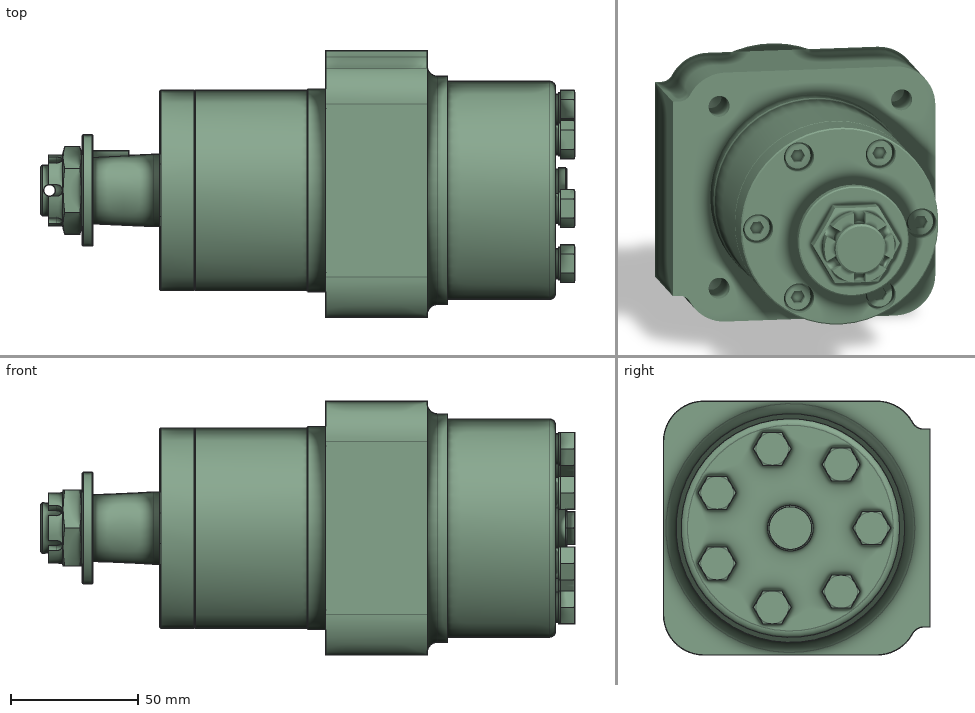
import cadquery as cq
import math


castle_front = 3.0
slot_centre = 6.3
castle_back = 8.6
washer_front = 16.3
taper_front = 20.7
taper_back = 44.5
cover_front = 46.8
cover_back = 60.3
pilot_front = 104.8
flange_front = 112.2
flange_thickness = 40.0
flange_back = flange_front + flange_thickness
collar_back = flange_back + 8.0
end_cap_back = 202.7
bolt_head_front = 203.8
bolt_hex_front = 204.6
plug_back = 207.1
overall_length = 210.27

thread_diameter = 20.0
thread_end_diameter = 18.63
taper_ratio = 1 / 11
shaft_diameter = 28.56
taper_front_diameter = shaft_diameter - taper_ratio * (taper_back - taper_front)
cotter_hole_diameter = 4.5
cotter_hole_station = 3.5

key_length = 14.0
key_width = 5.0
key_height = 5.0
key_top = 15.7

nut_across_flats = 30.0
castle_diameter = 28.0
nut_slot_count = 6
nut_slot_width = 4.5
hex_chamfer_angle = 15.0
washer_diameter = 44.0
washer_chamfer = 0.5

cover_diameter = 79.0
cover_chamfer = 0.5
joint_groove_width = 0.6
joint_groove_depth = 0.3
pilot_diameter = 80.0
collar_diameter = 90.0
collar_fillet = 4.0
rear_diameter = 86.0
rear_fillet = 2.5
seal_recess_diameter = 35.0
seal_recess_depth = 2.0

flange_half = 50.0
flange_corner_radius = 16.0
tab_reach = 55.0
tab_half_height = 39.0
tab_fillet = 5.0
mounting_hole_spacing = 73.0
mounting_hole_diameter = 8.38
mounting_hole_depth = 18.0
drill_point_angle = 118.0

screw_count = 6
screw_circle_radius = 32.7
screw_bore_diameter = 12.0
screw_bore_depth = 8.5
screw_head_diameter = 10.0
screw_head_height = 6.0
screw_socket_across_flats = 5.0
screw_socket_depth = 3.0

bolt_count = 7
bolt_circle_radius = 32.0
bolt_across_flats = 13.0
bolt_washer_face_diameter = 13.0
bolt_neck_diameter = 11.9
plug_diameter = 18.0
plug_neck_diameter = 17.0
plug_chamfer = 0.6


def across_corners(across_flats):
    return across_flats / math.cos(math.radians(30))


def disc(x_start, x_end, diameter):
    """Cylinder on the X axis."""
    return cq.Workplane("YZ", origin=(x_start, 0, 0)).circle(diameter / 2).extrude(x_end - x_start)


def hexagon(x_start, x_end, across_flats):
    """Hexagonal bar on the X axis with corners at +Y and -Y."""
    plane = cq.Workplane("YZ", origin=(x_start, 0, 0))
    return plane.polygon(6, across_corners(across_flats)).extrude(x_end - x_start)


def turned(points):
    """Solid of revolution about the X axis; the (x, radius) outline starts and ends on the axis."""
    return cq.Workplane("XY").polyline(points).close().revolve(360, (0, 0, 0), (1, 0, 0))


def chamfer_cone(x_end, across_flats, face_diameter, outward):
    """Envelope that cuts the corners of a hexagon; outward is +1 or -1, the side it narrows to."""
    inner_radius = face_diameter / 2
    height = across_flats
    outer_radius = inner_radius + height / math.tan(math.radians(hex_chamfer_angle))
    x_base = x_end - outward * height
    return turned([(x_base, 0), (x_base, outer_radius), (x_end, inner_radius), (x_end, 0)])


def around_axis(count, radius):
    """Positions (y, z) evenly spaced on a circle about the X axis, from +Y."""
    angles = [2 * math.pi * i / count for i in range(count)]
    return [(radius * math.cos(a), radius * math.sin(a)) for a in angles]


def make_key():
    centre = (taper_front + key_length / 2, key_top - key_height / 2, 0)
    return cq.Workplane("XY").box(key_length, key_height, key_width).translate(centre)


def make_shaft():
    end_chamfer = (thread_diameter - thread_end_diameter) / 2
    shaft = turned(
        [(0, 0), (0, thread_end_diameter / 2), (end_chamfer, thread_diameter / 2),
         (taper_front, thread_diameter / 2), (taper_front, taper_front_diameter / 2),
         (taper_back, shaft_diameter / 2), (cover_back, shaft_diameter / 2),
         (cover_back, 0)]
    )
    cotter_hole = (
        cq.Workplane("XY", origin=(cotter_hole_station, 0, 0))
        .circle(cotter_hole_diameter / 2)
        .extrude(thread_diameter / 2, both=True)
    )
    return shaft.cut(cotter_hole).cut(make_key())


def make_nut():
    hex_part = hexagon(castle_back, washer_front, nut_across_flats)
    hex_part = hex_part.intersect(chamfer_cone(castle_back, nut_across_flats, castle_diameter, -1))
    hex_part = hex_part.intersect(chamfer_cone(washer_front, nut_across_flats, castle_diameter, 1))
    nut = hex_part.union(disc(castle_front, castle_back, castle_diameter))
    nut = nut.cut(disc(castle_front, washer_front, thread_diameter))
    slot = (
        cq.Workplane("XY", origin=(slot_centre, 0, 0))
        .circle(nut_slot_width / 2)
        .extrude(castle_diameter)
    )
    slot_mouth = cq.Workplane("XY").box(
        slot_centre, nut_slot_width, castle_diameter, centered=(False, True, False)
    )
    slot = slot.union(slot_mouth)
    for i in range(nut_slot_count):
        nut = nut.cut(slot.rotate((0, 0, 0), (1, 0, 0), 360 * i / nut_slot_count))
    return nut


def make_washer():
    washer = disc(washer_front, taper_front, washer_diameter).faces("<X or >X").chamfer(washer_chamfer)
    return washer.cut(disc(washer_front, taper_front, thread_diameter))


def make_flange():
    """Square flange with rounded corners and a tab blended into its +Y side.

    The upper half is drawn and mirrored. On the +Y side the convex corner arc runs into the
    concave tab fillet at the blend point, which lies on the line between their centres.
    """
    radius = flange_corner_radius
    corner = flange_half - radius
    diagonal = radius * math.sqrt(0.5)
    fillet_z = tab_half_height + tab_fillet
    centre_distance = radius + tab_fillet
    fillet_y = corner + math.sqrt(centre_distance**2 - (fillet_z - corner) ** 2)
    blend_y = corner + (fillet_y - corner) * radius / centre_distance
    blend_z = corner + (fillet_z - corner) * radius / centre_distance
    blend_angle = math.atan2(blend_z - corner, blend_y - corner)
    convex_angle = (blend_angle + math.pi / 2) / 2
    convex_middle = (
        corner + radius * math.cos(convex_angle),
        corner + radius * math.sin(convex_angle),
    )
    concave_angle = (blend_angle - math.pi - math.pi / 2) / 2
    concave_middle = (
        fillet_y + tab_fillet * math.cos(concave_angle),
        fillet_z + tab_fillet * math.sin(concave_angle),
    )
    half = (
        cq.Workplane("YZ", origin=(flange_front, 0, 0))
        .moveTo(-flange_half, 0)
        .lineTo(-flange_half, corner)
        .threePointArc((-corner - diagonal, corner + diagonal), (-corner, flange_half))
        .lineTo(corner, flange_half)
        .threePointArc(convex_middle, (blend_y, blend_z))
        .threePointArc(concave_middle, (fillet_y, tab_half_height))
        .lineTo(tab_reach, tab_half_height)
        .lineTo(tab_reach, 0)
        .close()
        .extrude(flange_thickness)
    )
    return half.union(half.mirror("XY"))


def cut_mounting_holes(housing):
    radius = mounting_hole_diameter / 2
    point_depth = radius / math.tan(math.radians(drill_point_angle / 2))
    bottom = flange_front + mounting_hole_depth
    drill = turned(
        [(flange_front, 0), (flange_front, radius), (bottom, radius), (bottom + point_depth, 0)]
    )
    half = mounting_hole_spacing / 2
    for y in (-half, half):
        for z in (-half, half):
            housing = housing.cut(drill.translate((0, y, z)))
    return housing


def make_cover_barrel():
    """Front barrel with a fine groove at the cover joint and the pilot next to the flange."""
    cover_radius = cover_diameter / 2
    pilot_radius = pilot_diameter / 2
    groove_radius = cover_radius - joint_groove_depth
    groove_middle = cover_back + joint_groove_width / 2
    return turned(
        [(cover_front, 0), (cover_front, cover_radius - cover_chamfer),
         (cover_front + cover_chamfer, cover_radius),
         (cover_back, cover_radius), (groove_middle, groove_radius),
         (cover_back + joint_groove_width, cover_radius), (pilot_front, cover_radius),
         (pilot_front + pilot_radius - cover_radius, pilot_radius),
         (flange_front, pilot_radius), (flange_front, 0)]
    )


def make_rear_barrel():
    """Collar blended into the flange, followed by the rear barrel with its rounded end."""
    collar_radius = collar_diameter / 2
    rear_radius = rear_diameter / 2
    bend = math.sqrt(0.5)
    return (
        cq.Workplane("XY")
        .moveTo(flange_back, 0)
        .lineTo(flange_back, collar_radius + collar_fillet)
        .threePointArc(
            (flange_back + collar_fillet * (1 - bend), collar_radius + collar_fillet * (1 - bend)),
            (flange_back + collar_fillet, collar_radius),
        )
        .lineTo(collar_back, collar_radius)
        .lineTo(collar_back, rear_radius)
        .lineTo(end_cap_back - rear_fillet, rear_radius)
        .threePointArc(
            (end_cap_back - rear_fillet * (1 - bend), rear_radius - rear_fillet * (1 - bend)),
            (end_cap_back, rear_radius - rear_fillet),
        )
        .lineTo(end_cap_back, 0)
        .close()
        .revolve(360, (0, 0, 0), (1, 0, 0))
    )


def add_cover_screws(housing):
    """Sunk socket head screws: an open ring around each head and a hexagonal socket in it."""
    bore_bottom = cover_front + screw_bore_depth
    head_face = bore_bottom - screw_head_height
    recess = disc(cover_front, bore_bottom, screw_bore_diameter)
    recess = recess.cut(disc(head_face, bore_bottom, screw_head_diameter))
    recess = recess.union(hexagon(head_face, head_face + screw_socket_depth, screw_socket_across_flats))
    for y, z in around_axis(screw_count, screw_circle_radius):
        housing = housing.cut(recess.translate((0, y, z)))
    return housing


def add_end_cap_bolts(housing):
    head = hexagon(bolt_hex_front, overall_length, bolt_across_flats)
    head = head.intersect(chamfer_cone(overall_length, bolt_across_flats, bolt_across_flats, 1))
    washer_face = disc(bolt_head_front, bolt_hex_front, bolt_washer_face_diameter)
    neck = disc(end_cap_back, bolt_head_front, bolt_neck_diameter)
    bolt = head.union(washer_face).union(neck)
    for y, z in around_axis(bolt_count, bolt_circle_radius):
        housing = housing.union(bolt.translate((0, y, z)))
    return housing


def add_plug(housing):
    plug = disc(bolt_head_front, plug_back, plug_diameter).faces(">X").chamfer(plug_chamfer)
    neck = disc(end_cap_back, bolt_head_front, plug_neck_diameter)
    return housing.union(neck).union(plug)


def make_housing():
    housing = make_flange().union(make_cover_barrel()).union(make_rear_barrel())
    housing = housing.cut(disc(cover_front, cover_back, shaft_diameter))
    housing = housing.cut(disc(cover_front, cover_front + seal_recess_depth, seal_recess_diameter))
    housing = cut_mounting_holes(housing)
    housing = add_cover_screws(housing)
    housing = add_end_cap_bolts(housing)
    return add_plug(housing)


housing = make_housing()
shaft = make_shaft()
key = make_key()
washer = make_washer()
nut = make_nut()

result = cq.Compound.makeCompound(
    [housing.val(), shaft.val(), key.val(), washer.val(), nut.val()]
)